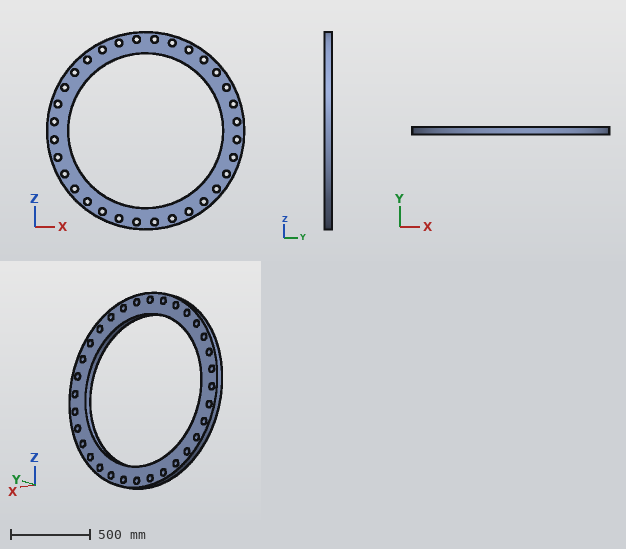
import cadquery as cq

outer_diameter = 1238.25
bore_diameter = 970.03
thickness = 47.07

bolt_circle_diameter = 1149.35
bolt_hole_diameter = 41.27
bolt_hole_count = 32
bolt_hole_pitch = 360 / bolt_hole_count


def back_face():
    """Workplane on the +Y face; extrusions from it run toward -Y."""
    return cq.Workplane("XZ", origin=(0, thickness / 2, 0))


def ring_plate():
    """Flat annular plate centred on the origin."""
    return (
        back_face()
        .circle(outer_diameter / 2)
        .circle(bore_diameter / 2)
        .extrude(thickness)
    )


def bolt_holes():
    """Cylinders for the through bolt holes, half a pitch off the axes."""
    return (
        back_face()
        .polarArray(bolt_circle_diameter / 2, bolt_hole_pitch / 2, 360, bolt_hole_count)
        .circle(bolt_hole_diameter / 2)
        .extrude(thickness)
    )


result = ring_plate().cut(bolt_holes())